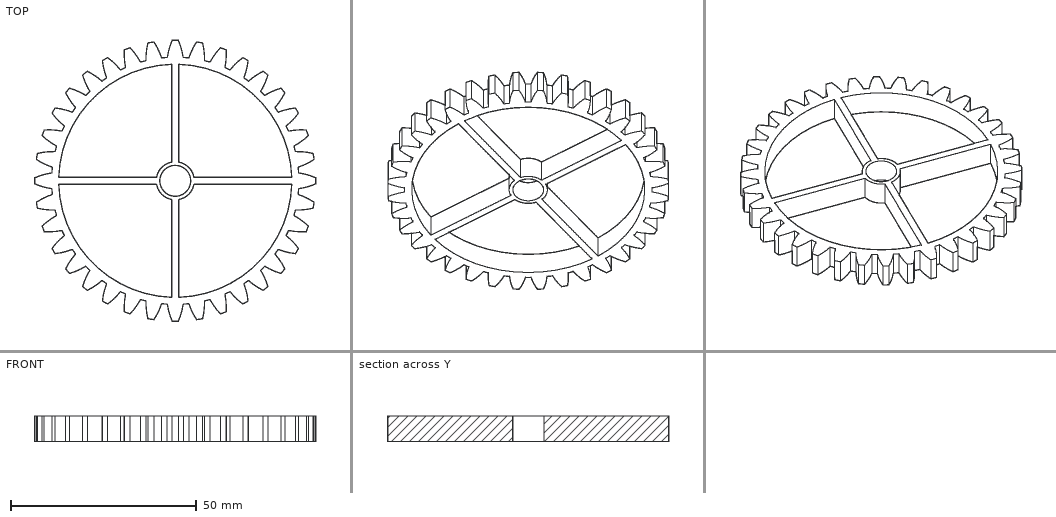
import cadquery as cq
import math

tip_diameter = 76.0
thickness = 7.0
tooth_count = 36
root_radius = 33.45
rim_inner_radius = 31.5
hub_radius = 5.2
bore_diameter = 8.3
spoke_count = 4
spoke_width = 2.0

tooth_root_width = 4.3
tooth_middle_width = 3.35
tooth_tip_width = 1.7

tip_radius = tip_diameter / 2
middle_radius = (root_radius + tip_radius) / 2
tooth_pitch_angle = 2 * math.pi / tooth_count


def polar_point(radius, angle):
    """Point at the given radius and angle (radians) about the axis."""
    return (radius * math.cos(angle), radius * math.sin(angle))


def half_angle(width, radius):
    """Angle from the tooth centre line to its flank at the given radius."""
    return math.asin(width / 2 / radius)


def toothed_disc():
    """Solid disc with curved-flank teeth, one of them centred on +X."""
    root_half = half_angle(tooth_root_width, root_radius)
    middle_half = half_angle(tooth_middle_width, middle_radius)
    tip_half = half_angle(tooth_tip_width, tip_radius)

    outline = cq.Workplane("XY").moveTo(*polar_point(root_radius, -root_half))
    for tooth in range(tooth_count):
        centre = tooth * tooth_pitch_angle
        gap_centre = centre + tooth_pitch_angle / 2
        next_root = centre + tooth_pitch_angle - root_half
        outline = (
            outline
            .threePointArc(
                polar_point(middle_radius, centre - middle_half),
                polar_point(tip_radius, centre - tip_half),
            )
            .threePointArc(
                polar_point(tip_radius, centre),
                polar_point(tip_radius, centre + tip_half),
            )
            .threePointArc(
                polar_point(middle_radius, centre + middle_half),
                polar_point(root_radius, centre + root_half),
            )
            .threePointArc(
                polar_point(root_radius, gap_centre),
                polar_point(root_radius, next_root),
            )
        )
    return outline.close().extrude(thickness)


def spokes():
    """Radial bars from the axis to the middle of the rim, the first along +X."""
    spoke_length = (rim_inner_radius + root_radius) / 2
    spoke = cq.Workplane("XY").box(spoke_length, spoke_width, thickness, centered=(False, True, False))
    bars = spoke
    for index in range(1, spoke_count):
        bars = bars.union(spoke.rotate((0, 0, 0), (0, 0, 1), index * 360 / spoke_count))
    return bars


rim = toothed_disc().cut(cq.Workplane("XY").circle(rim_inner_radius).extrude(thickness))
hub = cq.Workplane("XY").circle(hub_radius).extrude(thickness)
bore = cq.Workplane("XY").circle(bore_diameter / 2).extrude(thickness)

result = rim.union(spokes()).union(hub).cut(bore)